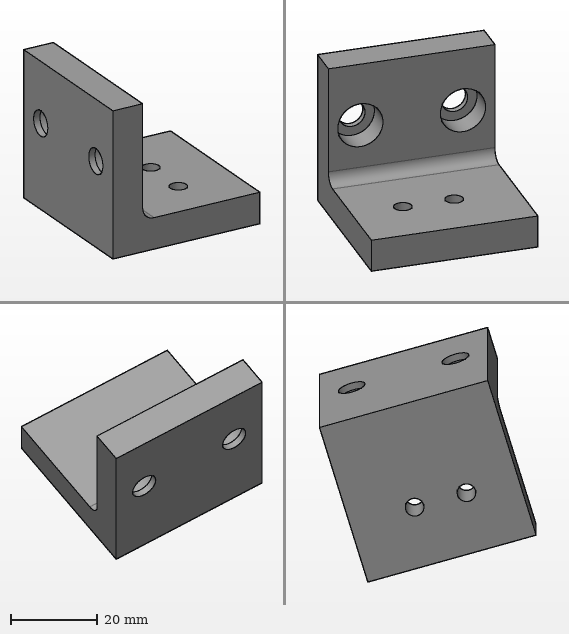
import cadquery as cq

width = 40.6
depth = 39.5
height = 37.5
thickness = 8.0
inner_radius = 3.0

wall_hole_diameter = 6.4
wall_hole_spacing = 25.0
wall_hole_height = 21.8

counterbore_diameter = 11.0
counterbore_floor = 1.7

base_hole_diameter = 4.3
base_hole_spacing = 12.5
base_hole_shift = 1.55
base_hole_from_front = 24.95


def angle_body():
    """L-shaped bar along X with its outer corner at Y = 0, Z = 0."""
    profile = [
        (0, 0),
        (depth, 0),
        (depth, thickness),
        (thickness, thickness),
        (thickness, height),
        (0, height),
    ]
    bar = cq.Workplane("YZ").polyline(profile).close().extrude(width / 2, both=True)
    inner_corner = cq.selectors.NearestToPointSelector((0, thickness, thickness))
    return bar.edges(inner_corner).fillet(inner_radius)


def hole_pair(plane, middle_x, across, spacing, diameter, length):
    """Two cylinders side by side along X, to be cut through a leg."""
    left = (middle_x - spacing / 2, across)
    right = (middle_x + spacing / 2, across)
    return cq.Workplane(plane).pushPoints([left, right]).circle(diameter / 2).extrude(length)


wall_holes = hole_pair(
    "XZ", 0, wall_hole_height, wall_hole_spacing, wall_hole_diameter, -thickness
)
counterbores = hole_pair(
    cq.Workplane("XZ", origin=(0, counterbore_floor, 0)).plane,
    0,
    wall_hole_height,
    wall_hole_spacing,
    counterbore_diameter,
    counterbore_floor - thickness,
)
base_holes = hole_pair(
    "XY", base_hole_shift, base_hole_from_front, base_hole_spacing, base_hole_diameter, thickness
)

result = angle_body().cut(wall_holes).cut(counterbores).cut(base_holes)